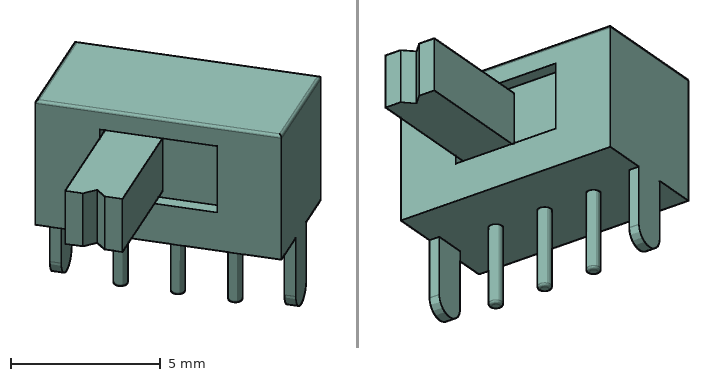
import cadquery as cq

housing_length = 8.6
housing_depth = 4.5
housing_height = 4.695
top_edge_radius = 0.1
front_y = -housing_depth / 2

window_length = 4.1
window_height = 2.5
window_depth = 0.5

slider_size = 2.0
slider_reach = 4.1
slider_end_gap = 0.05
slider_x = -window_length / 2 + slider_end_gap + slider_size / 2
slider_drop = 2.0
slider_z = housing_height - slider_drop
notch_width = 0.76
notch_depth = notch_width / 2

pin_diameter = 0.5
pin_length = 3.0
pin_pitch = 2.0
pin_tip_radius = 0.1

leg_thickness = 0.4
leg_width = 1.2
leg_length = 2.8


def make_housing():
    """Block with rounded top edges and a blind window in the front."""
    block = cq.Workplane("XY").box(
        housing_length, housing_depth, housing_height, centered=(True, True, False)
    )
    block = block.faces(">Z").edges().fillet(top_edge_radius)
    window = (
        cq.Workplane("XZ", origin=(0, front_y, slider_z))
        .rect(window_length, window_height)
        .extrude(-window_depth)
    )
    return block.cut(window)


def make_slider():
    """Square bar from the window floor, with a vertical V notch in its tip."""
    bar = (
        cq.Workplane("XZ", origin=(slider_x, front_y + window_depth, slider_z))
        .rect(slider_size, slider_size)
        .extrude(slider_reach + window_depth)
    )
    notch = (
        cq.Workplane("XY", origin=(slider_x, front_y - slider_reach, slider_z))
        .polyline([(-notch_width / 2, 0), (notch_width / 2, 0), (0, notch_depth)])
        .close()
        .extrude(slider_size / 2, both=True)
    )
    return bar.cut(notch)


def make_pin(x):
    """Round pin below the housing with a rounded tip."""
    pin = cq.Workplane("XY", origin=(x, 0, 0)).circle(pin_diameter / 2).extrude(-pin_length)
    return pin.faces("<Z").edges().fillet(pin_tip_radius)


def make_leg(inner_x):
    """Flat leg with a fully rounded tip, extending in +X from inner_x."""
    half_width = leg_width / 2
    arc_z = half_width - leg_length
    return (
        cq.Workplane("YZ", origin=(inner_x, 0, 0))
        .moveTo(-half_width, 0)
        .lineTo(-half_width, arc_z)
        .threePointArc((0, -leg_length), (half_width, arc_z))
        .lineTo(half_width, 0)
        .close()
        .extrude(leg_thickness)
    )


result = make_housing().union(make_slider())
for pin_x in (-pin_pitch, 0, pin_pitch):
    result = result.union(make_pin(pin_x))
for leg_x in (-housing_length / 2, housing_length / 2 - leg_thickness):
    result = result.union(make_leg(leg_x))